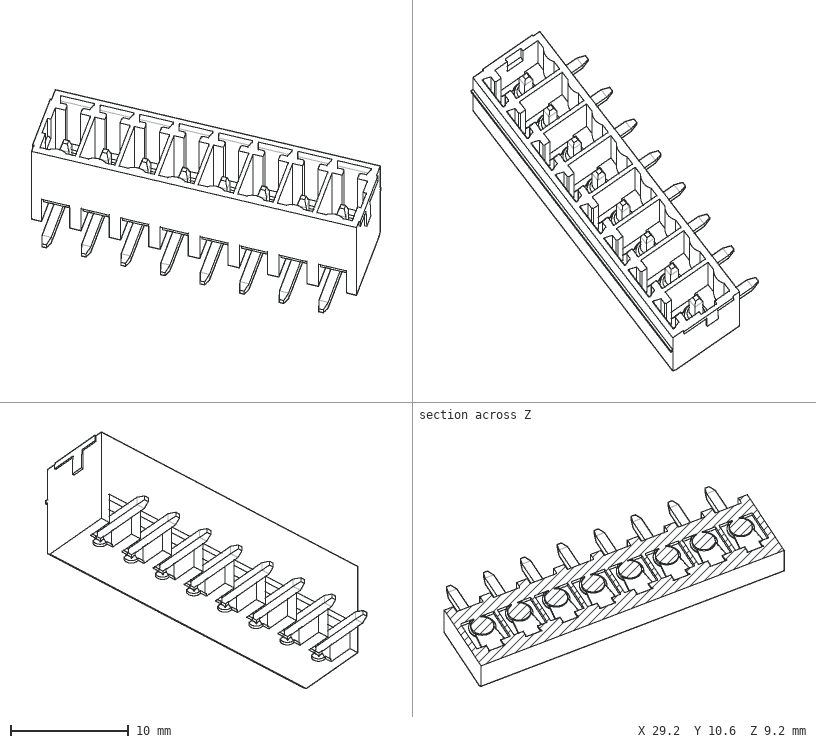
import cadquery as cq


PIN_COUNT = 8
PITCH = 3.5
pin_places = [(i - (PIN_COUNT - 1) / 2) * PITCH for i in range(PIN_COUNT)]

OVERALL_LENGTH = 29.2
HOUSING_LENGTH = 28.8
HOUSING_DEPTH = 7.0
HEIGHT = 9.2
BOTTOM_CHAMFER_Y = 0.35
BOTTOM_CHAMFER_Z = 0.25
BACK_RIB_DEPTH = 0.2
BACK_RIB_HEIGHT = 0.35
BACK_RIB_Z = 5.66

CELL_WIDTH = 3.12
CELL_FRONT = 0.6
CELL_BACK = 5.1
FLOOR = 2.63
LEDGE_BACK = 2.05
LEDGE_TOP = 3.2
BULGE_WIDTH = 1.52
BULGE_DEPTH = 0.25
PAD_TOP = FLOOR + 0.18
PAD_FRONT_WIDTH = 1.45
PAD_BACK_WIDTH = 2.2

NECK_WIDTH = 1.35
NECK_FLARE = 0.12
DOVETAIL_FRONT = 5.75
DOVETAIL_BACK = 6.37
DOVETAIL_FRONT_WIDTH = 2.57
DOVETAIL_BACK_WIDTH = 2.98
DOVETAIL_FLOOR = LEDGE_TOP
LEAD_IN_DEPTH = 0.15
LEAD_IN_HEIGHT = 0.53

PLATE_FRONT = 0.7
PLATE_BACK = 5.9
PLATE_HEIGHT = 0.6
KEY_TOP_THICKNESS = 0.12
STEM_FRONT = 2.37
STEM_BACK = 3.53
STEM_HEIGHT = 2.57
POCKET_FRONT = 2.2
POCKET_BACK = 3.83
POCKET_DEPTH = 0.3
POCKET_HEIGHT = 2.35

NOTCH_WIDTH = 2.48
NOTCH_TOP = 3.0
CAVITY_BACK = 2.57
CAVITY_TOP_FRONT = 1.95
CAVITY_TOP_BACK = 1.8
SILL_HEIGHT = 0.25
SILL_FRONT = 2.42

BORE_Y = 2.63
BORE_DIAMETER = 1.23
BORE_TOP_DIAMETER = 0.75
THROAT_WIDTH = 0.7
BORE_CONE_TOP = 0.53

PIN_WIDTH = 0.82
PIN_THICKNESS = 0.85
PIN_Y = 3.0
PIN_Z = 1.23
PIN_TOP = 7.68
PIN_REACH = 3.4
TIP_LENGTH = 0.75
TIP_SIZE = 0.4
SHANK_TAPER = 0.05

DISC_DIAMETER = 2.35
DISC_HEIGHT = 0.1
COLLAR_DIAMETER = 2.0
COLLAR_TOP_DIAMETER = 1.52
COLLAR_CONE_HEIGHT = 0.3


def box(x0, x1, y0, y1, z0, z1):
    return cq.Workplane("XY").box(x1 - x0, y1 - y0, z1 - z0, centered=False).translate((x0, y0, z0))


def prism(points, z0, z1):
    """Prism standing on z0 with an outline in X and Y."""
    return cq.Workplane("XY").workplane(offset=z0).polyline(points).close().extrude(z1 - z0)


def side_prism(points, width):
    """Prism centred on X = 0 with an outline in Y and Z."""
    return cq.Workplane("YZ").polyline(points).close().extrude(width / 2, both=True)


def end_prism(points, front, back):
    """Prism from front to back along Y with an outline in X and Z."""
    return cq.Workplane("XZ", origin=(0, back, 0)).polyline(points).close().extrude(back - front)


def trapezoid(front_width, back_width, front, back):
    """Outline symmetric about X = 0 whose width changes from front to back."""
    return [
        (-front_width / 2, front),
        (front_width / 2, front),
        (back_width / 2, back),
        (-back_width / 2, back),
    ]


def frustum(bottom_diameter, top_diameter, y, z0, z1):
    """Upright cone frustum on the axis X = 0 at the given Y."""
    cone = cq.Solid.makeCone(bottom_diameter / 2, top_diameter / 2, z1 - z0, pnt=cq.Vector(0, y, z0))
    return cq.Workplane("XY").add(cone)


def cylinder(diameter, y, z0, z1):
    """Upright cylinder on the axis X = 0 at the given Y."""
    return cq.Workplane("XY", origin=(0, y, z0)).circle(diameter / 2).extrude(z1 - z0)


def housing_block():
    outline = [
        (0, 0),
        (HOUSING_DEPTH - BOTTOM_CHAMFER_Y, 0),
        (HOUSING_DEPTH, BOTTOM_CHAMFER_Z),
        (HOUSING_DEPTH, HEIGHT),
        (0, HEIGHT),
    ]
    half = HOUSING_LENGTH / 2
    back_rib = box(
        -half, half,
        HOUSING_DEPTH, HOUSING_DEPTH + BACK_RIB_DEPTH,
        BACK_RIB_Z, BACK_RIB_Z + BACK_RIB_HEIGHT,
    )
    return side_prism(outline, HOUSING_LENGTH).union(back_rib)


def end_key():
    """T-shaped key on the +X end; its flat outer face leans outward towards the foot of the stem."""
    wall = HOUSING_LENGTH / 2
    outline = [
        (wall, HEIGHT),
        (wall + KEY_TOP_THICKNESS, HEIGHT),
        (OVERALL_LENGTH / 2, HEIGHT - STEM_HEIGHT),
        (wall, HEIGHT - STEM_HEIGHT),
    ]
    slab = end_prism(outline, PLATE_FRONT, PLATE_BACK)
    plate_zone = box(wall, OVERALL_LENGTH, PLATE_FRONT, PLATE_BACK, HEIGHT - PLATE_HEIGHT, HEIGHT)
    stem_zone = box(wall, OVERALL_LENGTH, STEM_FRONT, STEM_BACK, 0, HEIGHT)
    return slab.intersect(plate_zone.union(stem_zone))


def end_pocket():
    """Pocket in the +X end wall, open to the last cell, with a floor falling towards the cell."""
    cell_wall = pin_places[-1] + CELL_WIDTH / 2
    pocket_wall = cell_wall + POCKET_DEPTH
    floor = HEIGHT - POCKET_HEIGHT
    outline = [
        (cell_wall, HEIGHT),
        (pocket_wall, HEIGHT),
        (pocket_wall, floor),
        (cell_wall, floor - POCKET_DEPTH),
    ]
    return end_prism(outline, POCKET_FRONT, POCKET_BACK)


def coding_slot():
    """Neck and dovetail behind the cell, with a sloped lead-in on the back wall."""
    neck_outline = [
        (-NECK_WIDTH / 2, CELL_BACK),
        (NECK_WIDTH / 2, CELL_BACK),
        (NECK_WIDTH / 2, DOVETAIL_FRONT - NECK_FLARE),
        (NECK_WIDTH / 2 + NECK_FLARE, DOVETAIL_FRONT),
        (-NECK_WIDTH / 2 - NECK_FLARE, DOVETAIL_FRONT),
        (-NECK_WIDTH / 2, DOVETAIL_FRONT - NECK_FLARE),
    ]
    neck = prism(neck_outline, PAD_TOP, HEIGHT)
    dovetail = prism(
        trapezoid(DOVETAIL_FRONT_WIDTH, DOVETAIL_BACK_WIDTH, DOVETAIL_FRONT, DOVETAIL_BACK),
        DOVETAIL_FLOOR, HEIGHT,
    )
    lead_in = side_prism(
        [
            (DOVETAIL_BACK, HEIGHT - LEAD_IN_HEIGHT),
            (DOVETAIL_BACK + LEAD_IN_DEPTH, HEIGHT),
            (DOVETAIL_BACK, HEIGHT),
        ],
        DOVETAIL_BACK_WIDTH,
    )
    return neck.union(dovetail).union(lead_in)


def cell():
    """Space inside one cell, above its ledge, floor, tapered pad and disc."""
    half = CELL_WIDTH / 2
    bulge = (
        cq.Workplane("XY").workplane(offset=LEDGE_TOP)
        .moveTo(-BULGE_WIDTH / 2, CELL_FRONT)
        .threePointArc((0, CELL_FRONT + BULGE_DEPTH), (BULGE_WIDTH / 2, CELL_FRONT))
        .close().extrude(HEIGHT - LEDGE_TOP)
    )
    ledge = box(-half, half, CELL_FRONT, LEDGE_BACK, FLOOR, LEDGE_TOP)
    pad = prism(trapezoid(PAD_FRONT_WIDTH, PAD_BACK_WIDTH, LEDGE_BACK, CELL_BACK), FLOOR, PAD_TOP)
    disc = cylinder(DISC_DIAMETER, PIN_Y, FLOOR, FLOOR + DISC_HEIGHT)
    space = box(-half, half, CELL_FRONT, CELL_BACK, FLOOR, HEIGHT)
    return space.cut(bulge).cut(ledge).cut(pad).cut(disc).union(coding_slot())


def under_opening():
    """Notch in the front wall and the cavity below the cell floor, with a low sill inside."""
    outline = [
        (0, 0),
        (SILL_FRONT, 0),
        (SILL_FRONT, SILL_HEIGHT),
        (CAVITY_BACK, SILL_HEIGHT),
        (CAVITY_BACK, CAVITY_TOP_BACK),
        (CELL_FRONT, CAVITY_TOP_FRONT),
        (CELL_FRONT, NOTCH_TOP),
        (0, NOTCH_TOP),
    ]
    return side_prism(outline, NOTCH_WIDTH)


def pin_bore():
    """Round bore narrowing through a cone into a square throat below the pin."""
    mouth = cylinder(BORE_DIAMETER, BORE_Y, 0, SILL_HEIGHT)
    cone = frustum(BORE_DIAMETER, BORE_TOP_DIAMETER, BORE_Y, SILL_HEIGHT, BORE_CONE_TOP)
    half = THROAT_WIDTH / 2
    throat = box(-half, half, BORE_Y - half, BORE_Y + half, SILL_HEIGHT, PIN_Z)
    return mouth.union(cone).union(throat)


def pin_tip(base, thickness):
    """Tapered tip standing on the given workplane, ending in a small square."""
    return (
        base.rect(PIN_WIDTH, thickness)
        .workplane(offset=TIP_LENGTH).rect(TIP_SIZE, TIP_SIZE)
        .loft(ruled=True)
    )


def pin():
    """Bent pin: an upright leg in the cell and a level leg leaving through the front."""
    half_width = PIN_WIDTH / 2
    half = PIN_THICKNESS / 2
    upright_end = PIN_TOP - TIP_LENGTH
    level_end = TIP_LENGTH - PIN_REACH
    upright = box(-half_width, half_width, PIN_Y - half, PIN_Y + half, PIN_Z - half, upright_end)
    level_outline = [
        (PIN_Y, PIN_Z - half),
        (PIN_Y, PIN_Z + half),
        (level_end, PIN_Z + half - SHANK_TAPER),
        (level_end, PIN_Z - half),
    ]
    level = side_prism(level_outline, PIN_WIDTH)
    upper_tip = pin_tip(cq.Workplane("XY", origin=(0, PIN_Y, upright_end)), PIN_THICKNESS)
    front_tip = pin_tip(
        cq.Workplane("XZ", origin=(0, level_end, PIN_Z - SHANK_TAPER / 2)),
        PIN_THICKNESS - SHANK_TAPER,
    )
    return upright.union(level).union(upper_tip).union(front_tip)


def collar():
    """Collar around the upright leg, rising from the cell floor to a cone above the ledge."""
    base = cylinder(COLLAR_DIAMETER, PIN_Y, FLOOR, LEDGE_TOP)
    cone = frustum(
        COLLAR_DIAMETER, COLLAR_TOP_DIAMETER, PIN_Y, LEDGE_TOP, LEDGE_TOP + COLLAR_CONE_HEIGHT
    )
    return base.union(cone)


def both_ends(shape):
    return shape.union(shape.mirror("YZ"))


result = housing_block().union(both_ends(end_key()))
cell_space = cell()
opening = under_opening().union(pin_bore())
collared_pin = pin().union(collar())
for x in pin_places:
    result = result.cut(cell_space.translate((x, 0, 0))).cut(opening.translate((x, 0, 0)))
result = result.cut(both_ends(end_pocket()))
for x in pin_places:
    result = result.union(collared_pin.translate((x, 0, 0)))